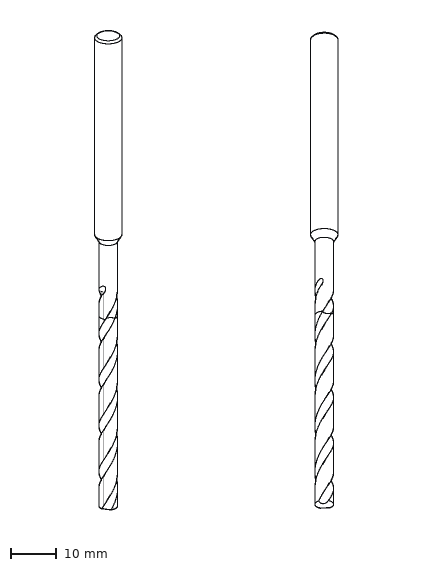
import cadquery as cq
import math

overall_length = 115.0
drill_diameter = 4.1
shank_diameter = 6.0
shank_length = 48.3
shank_end_chamfer = 0.5
neck_cone_half_angle = 30.0
point_angle = 140.0
cutting_length = 47.0

flute_count = 2
helix_angle = 30.0
flute_radius = 1.15
flute_axis_distance = 2.2
flute_top = 52.7
flute_top_azimuth = 227.0
run_out_angle = 45.0
run_out_length = 4.0
flute_blank_radius = 2.7
flute_waste_radius = 2.5

drill_radius = drill_diameter / 2
shank_radius = shank_diameter / 2
point_height = drill_radius / math.tan(math.radians(point_angle / 2))
shank_bottom = overall_length - shank_length
neck_cone_height = (shank_radius - drill_radius) / math.tan(math.radians(neck_cone_half_angle))
neck_top = shank_bottom - neck_cone_height
helix_lead = math.pi * drill_diameter / math.tan(math.radians(helix_angle))
flute_azimuths = [flute_top_azimuth + index * 360.0 / flute_count for index in range(flute_count)]


def turned(profile):
    """Revolve a closed (radius, height) outline about Z, starting on the -Y side."""
    mirrored = [(-radius, height) for radius, height in profile]
    return cq.Workplane("YZ").polyline(mirrored).close().revolve(360, (0, 0), (0, 1))


def flute_twist(height):
    """Angle by which the flutes turn over a given height."""
    return 360.0 * height / helix_lead


def fluted_bar(bottom, top):
    """An oversize bar between two heights that carries all the flutes."""
    section = cq.Sketch().circle(flute_blank_radius)
    for azimuth in flute_azimuths:
        angle = math.radians(azimuth - flute_twist(flute_top - bottom))
        centre = (flute_axis_distance * math.cos(angle), flute_axis_distance * math.sin(angle))
        section = section.push([centre]).circle(flute_radius, mode="s").reset()
    height = top - bottom
    return (
        cq.Workplane("XY", origin=(0, 0, bottom))
        .placeSketch(section)
        .twistExtrude(height, flute_twist(height))
    )


def flute_waste(bottom, top):
    """The material that the flutes remove from the drill between two heights."""
    bar = cq.Workplane("XY", origin=(0, 0, bottom)).circle(flute_waste_radius).extrude(top - bottom)
    return bar.cut(fluted_bar(bottom, top))


def run_out(azimuth):
    """The straight continuation of one flute, leaving the drill on a tangent."""
    slope = math.radians(run_out_angle)
    direction = cq.Vector(0, math.cos(slope), math.sin(slope)) * run_out_length
    mouth = cq.Vector(flute_axis_distance, 0, flute_top)
    circle = cq.Wire.makeCircle(flute_radius, mouth, cq.Vector(0, 0, 1))
    groove = cq.Solid.extrudeLinear(circle, [], direction)
    return cq.Workplane(groove).rotate((0, 0, 0), (0, 0, 1), azimuth)


cutting_blank = turned([
    (0, 0),
    (drill_radius, point_height),
    (drill_radius, cutting_length),
    (0, cutting_length),
])
cutting_part = cutting_blank.intersect(fluted_bar(0, cutting_length))

shank_part = turned([
    (0, cutting_length),
    (drill_radius, cutting_length),
    (drill_radius, neck_top),
    (shank_radius, shank_bottom),
    (shank_radius, overall_length - shank_end_chamfer),
    (shank_radius - shank_end_chamfer, overall_length),
    (0, overall_length),
])
shank_part = shank_part.cut(flute_waste(cutting_length, flute_top))
for azimuth in flute_azimuths:
    shank_part = shank_part.cut(run_out(azimuth))

result = cq.Compound.makeCompound([*cutting_part.solids().vals(), *shank_part.solids().vals()])